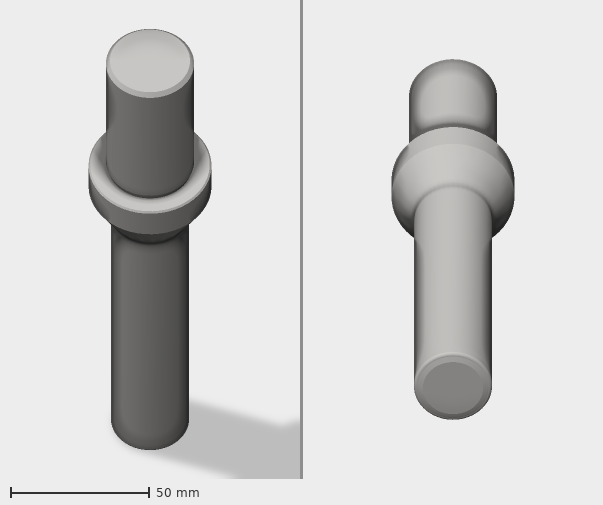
import cadquery as cq

TOTAL_LENGTH = 210.0
SHANK_LENGTH = 60.3
COLLAR_HEIGHT = 12.5
TAPER_BOTTOM_Z = 122.4
TAPER_BLEND_HEIGHT = 1.9
TIP_LENGTH = 5.9

SHANK_RADIUS = 16.0
COLLAR_RADIUS = 22.3
BODY_DIAMETER = 28.3
BODY_RADIUS = BODY_DIAMETER / 2
TAPER_END_RADIUS = 14.7

SHANK_CHAMFER = 1.5
COLLAR_CHAMFER = 0.6

RELIEF_ROOT_RADIUS = 15.3
RELIEF_MOUTH_RADIUS = 16.5
RELIEF_TOP_RISE = 1.9
RELIEF_SLOPE_HEIGHT = 0.6
RELIEF_DEPTH = 0.5

TIP_CORNER_RADIUS = 1.3
END_CONE_HEIGHT = 0.6
END_FACE_RADIUS = 11.0

COLLAR_TOP_Z = TOTAL_LENGTH - SHANK_LENGTH
COLLAR_BOTTOM_Z = COLLAR_TOP_Z - COLLAR_HEIGHT


def revolve_about_axis(profile):
    """Revolve a closed (radius, height) profile about the Z axis."""
    return profile.close().revolve(360, (0, 0, 0), (0, 1, 0))


def make_holder():
    """Straight body, tapered collar, relief groove and shank."""
    relief_top_z = COLLAR_TOP_Z + RELIEF_TOP_RISE
    relief_floor_z = COLLAR_TOP_Z - RELIEF_DEPTH
    profile = (
        cq.Workplane("XZ")
        .moveTo(0, TIP_LENGTH)
        .lineTo(BODY_RADIUS, TIP_LENGTH)
        .lineTo(BODY_RADIUS, TAPER_BOTTOM_Z - TAPER_BLEND_HEIGHT)
        .tangentArcPoint((TAPER_END_RADIUS, TAPER_BOTTOM_Z), relative=False)
        .lineTo(COLLAR_RADIUS, COLLAR_BOTTOM_Z)
        .lineTo(COLLAR_RADIUS, COLLAR_TOP_Z - COLLAR_CHAMFER)
        .lineTo(COLLAR_RADIUS - COLLAR_CHAMFER, COLLAR_TOP_Z)
        .lineTo(RELIEF_MOUTH_RADIUS, COLLAR_TOP_Z)
        .lineTo(RELIEF_ROOT_RADIUS, relief_floor_z)
        .lineTo(RELIEF_ROOT_RADIUS, relief_top_z - RELIEF_SLOPE_HEIGHT)
        .lineTo(SHANK_RADIUS, relief_top_z)
        .lineTo(SHANK_RADIUS, TOTAL_LENGTH - SHANK_CHAMFER)
        .lineTo(SHANK_RADIUS - SHANK_CHAMFER, TOTAL_LENGTH)
        .lineTo(0, TOTAL_LENGTH)
    )
    return revolve_about_axis(profile)


def make_tip():
    """Short cutting tip that continues the straight body down to Z = 0."""
    corner_z = END_CONE_HEIGHT + TIP_CORNER_RADIUS
    profile = (
        cq.Workplane("XZ")
        .moveTo(0, TIP_LENGTH)
        .lineTo(BODY_RADIUS, TIP_LENGTH)
        .lineTo(BODY_RADIUS, corner_z)
        .tangentArcPoint((BODY_RADIUS - TIP_CORNER_RADIUS, END_CONE_HEIGHT), relative=False)
        .lineTo(END_FACE_RADIUS, 0)
        .lineTo(0, 0)
    )
    return revolve_about_axis(profile)


holder = make_holder()
tip = make_tip()

result = cq.Compound.makeCompound([holder.val(), tip.val()])